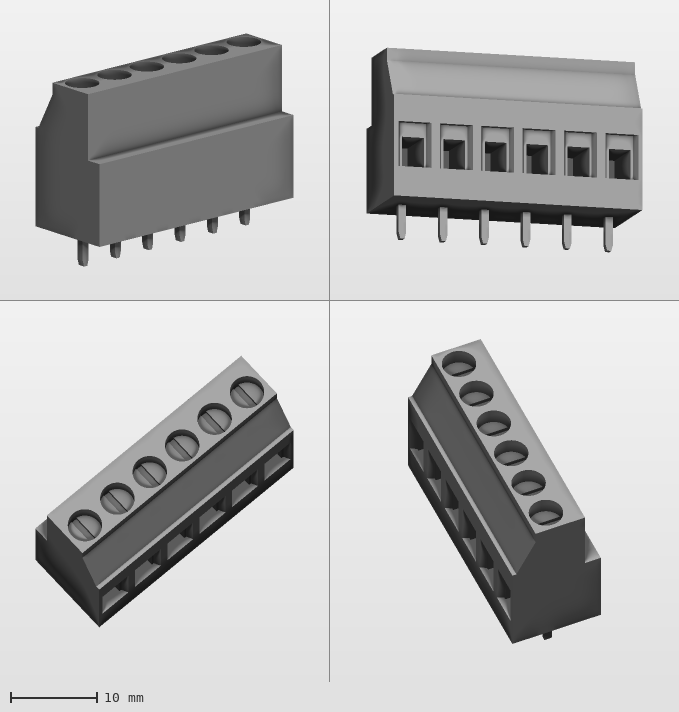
import cadquery as cq

POLE_COUNT = 6
BLOCK_LENGTH = 30.0
PITCH = BLOCK_LENGTH / POLE_COUNT
JOINT_Y = (POLE_COUNT - 1) / 2 * PITCH

BLOCK_DEPTH = 11.2
BLOCK_HEIGHT = 18.0
LEDGE_WIDTH = 0.5
LEDGE_Z = 12.0
BROW_X = 2.95
BROW_Z = 16.5
BACK_STEP_WIDTH = 2.0
BACK_STEP_Z = 10.0

SCREW_DIAMETER = 4.0
SCREW_X = 5.35
WELL_DEPTH = 2.0
SLOT_WIDTH = 0.8
SLOT_DEPTH = 0.5

ENTRY_FLOOR_Z = 3.5
MOUTH_HEIGHT = 5.3
MOUTH_WIDTH = SCREW_DIAMETER
MOUTH_INNER_WIDTH = 3.18
MOUTH_DEPTH = 0.78
CHANNEL_WIDTH = 2.6
CHANNEL_HEIGHT = 3.63
CHANNEL_END_X = SCREW_X + SCREW_DIAMETER / 2

PIN_SIZE = 0.9
PIN_X = 5.5
PIN_LENGTH = 4.0
TIP_LENGTH = 0.75
TIP_WIDTH = 0.5


def make_profile_block():
    """Plain block: the cross-section extruded over the whole row."""
    back_x = BLOCK_DEPTH - BACK_STEP_WIDTH
    return (
        cq.Workplane("XZ", origin=(0, BLOCK_LENGTH / 2, 0))
        .moveTo(0, 0)
        .lineTo(BLOCK_DEPTH, 0)
        .lineTo(BLOCK_DEPTH, BACK_STEP_Z)
        .lineTo(back_x, BACK_STEP_Z)
        .lineTo(back_x, BLOCK_HEIGHT)
        .lineTo(BROW_X, BLOCK_HEIGHT)
        .lineTo(BROW_X, BROW_Z)
        .lineTo(LEDGE_WIDTH, LEDGE_Z)
        .lineTo(0, LEDGE_Z)
        .close()
        .extrude(BLOCK_LENGTH)
    )


def make_screw_well(pole_y):
    """Cutter for a round well and the driver slot across its floor."""
    floor_z = BLOCK_HEIGHT - WELL_DEPTH
    well = (
        cq.Workplane("XY", origin=(SCREW_X, pole_y, floor_z))
        .circle(SCREW_DIAMETER / 2)
        .extrude(WELL_DEPTH)
    )
    slot_bar = (
        cq.Workplane("XY", origin=(SCREW_X, pole_y, floor_z))
        .rect(SCREW_DIAMETER, SLOT_WIDTH)
        .extrude(-SLOT_DEPTH)
    )
    slot = well.translate((0, 0, -SLOT_DEPTH)).intersect(slot_bar)
    return well.union(slot)


def make_wire_entry(pole_y):
    """Cutter for a tapered mouth and the straight channel behind it."""
    mouth = (
        cq.Workplane("XY", origin=(0, pole_y, ENTRY_FLOOR_Z))
        .moveTo(0, -MOUTH_WIDTH / 2)
        .lineTo(MOUTH_DEPTH, -MOUTH_INNER_WIDTH / 2)
        .lineTo(MOUTH_DEPTH, MOUTH_INNER_WIDTH / 2)
        .lineTo(0, MOUTH_WIDTH / 2)
        .close()
        .extrude(MOUTH_HEIGHT)
    )
    channel = cq.Workplane("XY", origin=(0, pole_y, ENTRY_FLOOR_Z)).box(
        CHANNEL_END_X, CHANNEL_WIDTH, CHANNEL_HEIGHT, centered=(False, True, False)
    )
    return mouth.union(channel)


def make_pin(pole_y):
    """Solder pin hanging from the underside."""
    shoulder_z = TIP_LENGTH - PIN_LENGTH
    return (
        cq.Workplane("YZ", origin=(PIN_X - PIN_SIZE / 2, pole_y, 0))
        .moveTo(-PIN_SIZE / 2, 0)
        .lineTo(-PIN_SIZE / 2, shoulder_z)
        .lineTo(-TIP_WIDTH / 2, -PIN_LENGTH)
        .lineTo(TIP_WIDTH / 2, -PIN_LENGTH)
        .lineTo(PIN_SIZE / 2, shoulder_z)
        .lineTo(PIN_SIZE / 2, 0)
        .close()
        .extrude(PIN_SIZE)
    )


def make_full_row():
    """Whole row of poles before it is divided into blocks."""
    row = make_profile_block()
    for pole in range(POLE_COUNT):
        pole_y = pole * PITCH - JOINT_Y
        row = row.cut(make_screw_well(pole_y))
        row = row.cut(make_wire_entry(pole_y))
        row = row.union(make_pin(pole_y))
    return row


def cut_block(row, start_y, end_y):
    """Part of the row lying between two Y planes."""
    span = cq.Workplane("XY", origin=(0, start_y, -PIN_LENGTH)).box(
        BLOCK_DEPTH, end_y - start_y, PIN_LENGTH + BLOCK_HEIGHT, centered=False
    )
    return row.intersect(span, clean=False).solids()


full_row = make_full_row()

middle_block = cut_block(full_row, -JOINT_Y, JOINT_Y)

end_spans = [(-BLOCK_LENGTH / 2, -JOINT_Y), (JOINT_Y, BLOCK_LENGTH / 2)]
end_blocks = [cut_block(full_row, start_y, end_y) for start_y, end_y in end_spans]

result = cq.Compound.makeCompound([middle_block.val(), *[block.val() for block in end_blocks]])